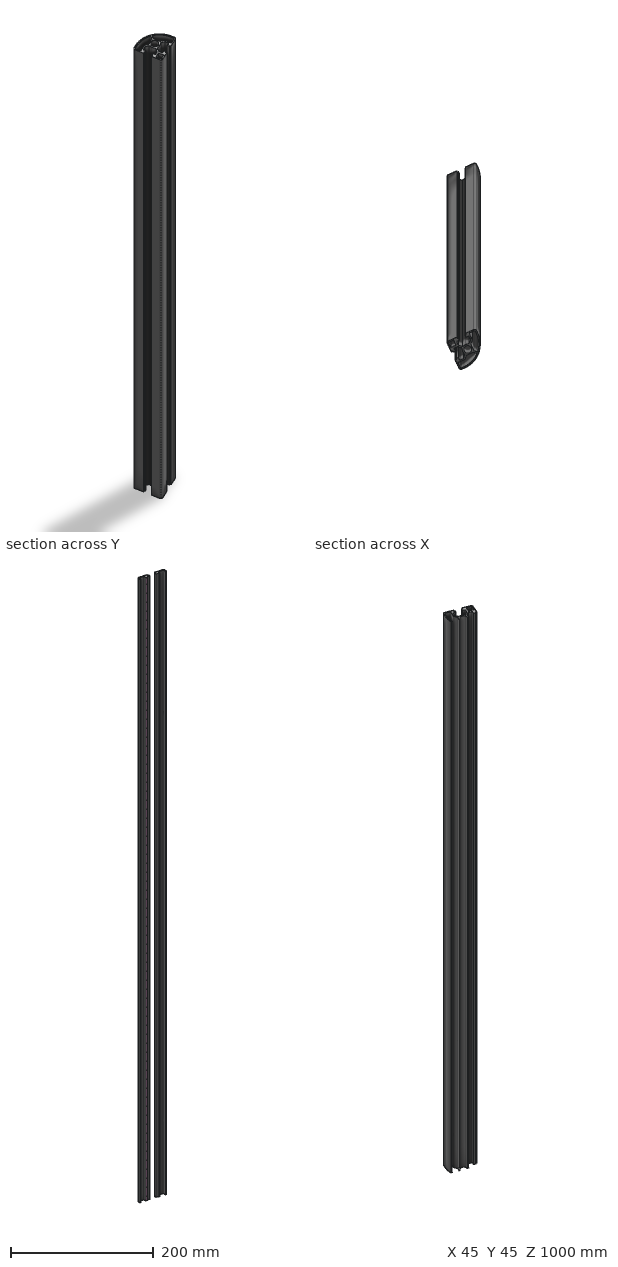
import cadquery as cq
import math

SIZE = 45.0
LENGTH = 1000.0
ROUND_RADIUS = 37.5
CORNER_RADIUS = 3.0

SLOT_OPENING = 10.0
SLOT_WIDTH = 19.0
LIP_DEPTH = 5.5
RECESS_WIDTH = 13.0
RECESS_DEPTH = 2.0
SLOT_CORNER_RADIUS = 1.0

HUB_HALF = 7.0
FLOOR_RISE = 0.8
BORE_DIAMETER = 11.0
WEB_OFFSET = 1.75
WEB_THICKNESS = 2.0
WALL = 2.0
CHAMBER_RADIUS = 1.0
POCKET_SIZE = 8.0

half = SIZE / 2
wall_inner = half - WALL
lip_inner = half - LIP_DEPTH
recess_floor = half - RECESS_DEPTH
floor_half_width = HUB_HALF - WEB_OFFSET


def extrude_polygon(points):
    return cq.Workplane("XY").polyline(points).close().extrude(LENGTH)


def quarter_round_block(side, radius):
    """Block with faces at +/-side and a tangent round at the -X +Y corner."""
    center = radius - side
    reach = radius * math.sqrt(0.5) - center
    return (
        cq.Workplane("XY")
        .moveTo(-side, -side)
        .lineTo(side, -side)
        .lineTo(side, side)
        .lineTo(center, side)
        .threePointArc((-reach, reach), (-side, -center))
        .close()
        .extrude(LENGTH)
    )


def outer_body():
    block = quarter_round_block(half, ROUND_RADIUS)
    square_corners = block.edges("|Z").edges(">X or (<X and <Y)")
    return square_corners.fillet(CORNER_RADIUS)


def slot_cutter():
    """T-slot open to -Y, with a recessed opening and a ridged floor on the hub."""
    side = SLOT_WIDTH / 2
    right_side = [
        (RECESS_WIDTH / 2, -half),
        (RECESS_WIDTH / 2, -recess_floor),
        (SLOT_OPENING / 2, -recess_floor),
        (SLOT_OPENING / 2, -lip_inner),
        (side, -lip_inner),
        (side, -side - WEB_OFFSET),
        (floor_half_width, -HUB_HALF),
    ]
    ridge = (0, -HUB_HALF - FLOOR_RISE)
    left_side = [(-x, y) for x, y in reversed(right_side)]
    slot = extrude_polygon(right_side + [ridge] + left_side)

    for sign in (-1, 1):
        corner = cq.selectors.NearestToPointSelector((sign * side, -lip_inner, LENGTH / 2))
        slot = slot.edges("|Z").edges(corner).fillet(SLOT_CORNER_RADIUS)
    return slot


def chamber_cutter():
    """Closed chamber between the hub, its webs and the +Y wall."""
    web_side = SLOT_WIDTH / 2 + WEB_THICKNESS
    region = extrude_polygon(
        [
            (-floor_half_width, HUB_HALF),
            (floor_half_width, HUB_HALF),
            (web_side - WEB_OFFSET, web_side),
            (wall_inner, web_side),
            (wall_inner, half),
            (WEB_OFFSET - half, half),
        ]
    )
    inside = quarter_round_block(wall_inner, ROUND_RADIUS - WALL)
    return region.intersect(inside).edges("|Z").fillet(CHAMBER_RADIUS)


def mirror_about_diagonal(shape):
    """Reflect across the line y = -x, the symmetry line of the section."""
    flipped = shape.rotate((0, 0, 0), (1, -1, 0), 180)
    return flipped.translate((0, 0, LENGTH))


def corner_pocket_cutter():
    """Square hollow in the +X -Y corner."""
    center = wall_inner - POCKET_SIZE / 2
    return cq.Workplane("XY").center(center, -center).rect(POCKET_SIZE, POCKET_SIZE).extrude(LENGTH)


body = outer_body()
for cutter in (slot_cutter(), chamber_cutter()):
    body = body.cut(cutter).cut(mirror_about_diagonal(cutter))
body = body.cut(corner_pocket_cutter())
bore = cq.Workplane("XY").circle(BORE_DIAMETER / 2).extrude(LENGTH)
result = body.cut(bore)